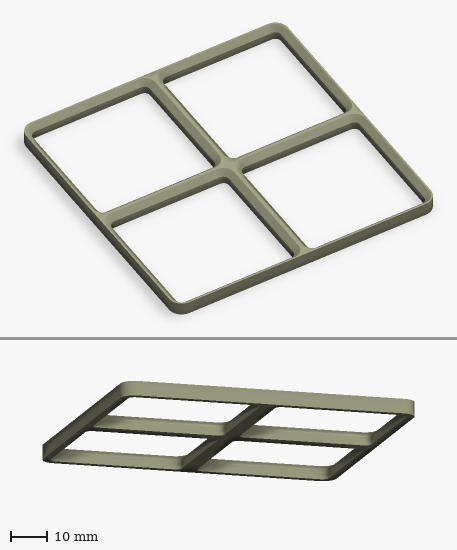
import cadquery as cq

side = 84.0
height = 4.1
cells_per_side = 2
outer_radius = 4.0
rim_inset = 0.5
chamfer_size = 1.7

pitch = side / cells_per_side
pocket_top = pitch - 2 * rim_inset
pocket_bottom = pocket_top - 2 * chamfer_size
pocket_radius = outer_radius - rim_inset - chamfer_size


def rounded_block(width, radius):
    """Square block with rounded vertical edges, standing on Z = 0."""
    block = cq.Workplane("XY").box(width, width, height, centered=(True, True, False))
    return block.edges("|Z").fillet(radius)


frame = rounded_block(side, outer_radius)

pocket = rounded_block(pocket_bottom, pocket_radius)
for column in range(cells_per_side):
    for row in range(cells_per_side):
        center_x = (column + 0.5) * pitch - side / 2
        center_y = (row + 0.5) * pitch - side / 2
        frame = frame.cut(pocket.translate((center_x, center_y, 0)))

top_face = frame.faces(">Z").val()
mouth_edges = [edge for wire in top_face.innerWires() for edge in wire.Edges()]
result = frame.newObject(mouth_edges).chamfer(chamfer_size)